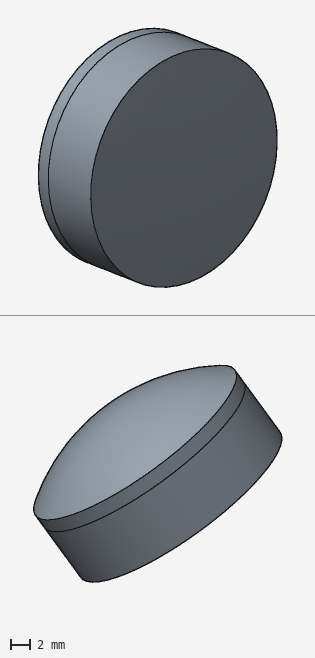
import cadquery as cq
import math

diameter = 25.4
total_thickness = 13.5
front_sag = 4.25
front_edge = 1.57
back_sag = 1.02

rim_radius = diameter / 2
front_rim_x = front_sag
joint_x = front_rim_x + front_edge
back_rim_x = total_thickness - back_sag


def sphere_radius(sag):
    """Radius of the spherical cap with this depth across the full rim."""
    return (rim_radius**2 + sag**2) / (2 * sag)


def mid_arc_point(apex_x, rim_x):
    """Point halfway along the arc from the apex on the axis to the rim."""
    radius = sphere_radius(abs(rim_x - apex_x))
    half_angle = math.asin(rim_radius / radius) / 2
    inward = math.copysign(1, rim_x - apex_x)
    depth = radius * (1 - math.cos(half_angle))
    return (apex_x + inward * depth, radius * math.sin(half_angle))


def make_lens(apex_x, rim_x, flat_x):
    """Plano-convex lens: a dome, a cylindrical rim and a flat face."""
    profile = (
        cq.Workplane("XZ")
        .moveTo(apex_x, 0)
        .threePointArc(mid_arc_point(apex_x, rim_x), (rim_x, rim_radius))
        .lineTo(flat_x, rim_radius)
        .lineTo(flat_x, 0)
        .close()
    )
    return profile.revolve(360, (0, 0, 0), (1, 0, 0))


front_lens = make_lens(0, front_rim_x, joint_x)
back_lens = make_lens(total_thickness, back_rim_x, joint_x)

result = cq.Compound.makeCompound([front_lens.val(), back_lens.val()])